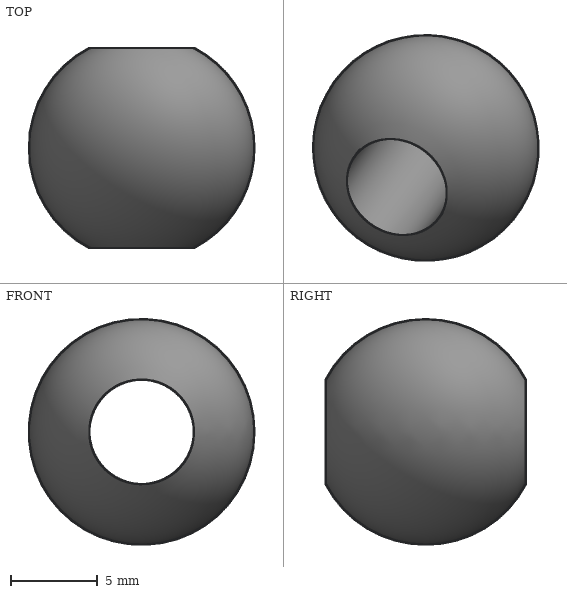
import math

import cadquery as cq

ball_diameter = 13.0
bore_diameter = 6.0

ball_radius = ball_diameter / 2
bore_radius = bore_diameter / 2

rim_y = math.sqrt(ball_radius**2 - bore_radius**2)

half_section = (
    cq.Workplane("XY")
    .moveTo(bore_radius, -rim_y)
    .threePointArc((ball_radius, 0), (bore_radius, rim_y))
    .close()
)

result = half_section.revolve(360, (0, 0), (0, 1))